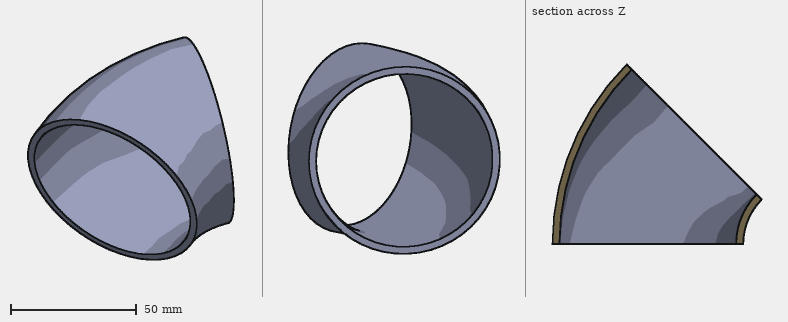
import cadquery as cq
import math

overall_length = 83.4
outer_diameter = 76.1
wall_thickness = 2.9
bend_angle = 45.0

outer_radius = outer_diameter / 2
inner_radius = outer_radius - wall_thickness

bend_cosine = math.cos(math.radians(bend_angle))
bend_radius = (overall_length - outer_radius * (1 + bend_cosine)) / (1 - bend_cosine)

end_ring = cq.Workplane("XZ").circle(outer_radius).circle(inner_radius)
result = end_ring.revolve(bend_angle, (bend_radius, 0), (bend_radius, -1))